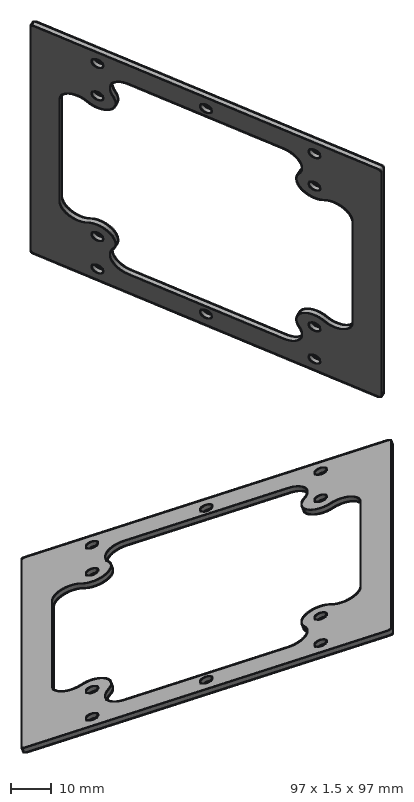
import cadquery as cq
import math

side = 97.0
thickness = 1.5
corner_radius = 1.0

window_half = 40.45
ear_radius = 5.0
ear_offset = 30.0

hole_diameter = 3.2
edge_hole_offset = 43.7

round_radius = ear_radius
round_far = window_half - round_radius
center_distance = ear_radius + round_radius
round_near = ear_offset - math.sqrt(center_distance**2 - (round_far - ear_offset) ** 2)


def toward(start, end, distance):
    """Point at a distance from start, in the direction of end."""
    length = math.dist(start, end)
    return tuple(s + (e - s) * distance / length for s, e in zip(start, end))


def turned(point, quarter_turns):
    """Point rotated clockwise about the plate centre."""
    x, z = point
    for _ in range(quarter_turns):
        x, z = z, -x
    return x, z


def make_plate():
    plate = cq.Workplane("XZ").rect(side, side).extrude(thickness / 2, both=True)
    return plate.edges("|Y").fillet(corner_radius)


def make_window():
    ear = (ear_offset, ear_offset)
    upper_round = (round_near, round_far)
    side_round = (round_far, round_near)

    upper_start = (round_near, window_half)
    upper_end = toward(upper_round, ear, round_radius)
    mid_angle = math.radians(30)
    upper_mid = (round_near + round_radius * math.cos(mid_angle),
                 round_far + round_radius * math.sin(mid_angle))
    ear_mid = toward(ear, (0, 0), ear_radius)
    ear_end = toward(side_round, ear, round_radius)
    side_mid = upper_mid[::-1]
    side_end = (window_half, round_near)

    outline = cq.Workplane("XZ").moveTo(-round_near, window_half)
    for turn in range(4):
        outline = (
            outline.lineTo(*turned(upper_start, turn))
            .threePointArc(turned(upper_mid, turn), turned(upper_end, turn))
            .threePointArc(turned(ear_mid, turn), turned(ear_end, turn))
            .threePointArc(turned(side_mid, turn), turned(side_end, turn))
        )
    return outline.close().extrude(thickness, both=True)


def make_holes():
    columns = (-ear_offset, 0, ear_offset)
    edge_points = [(x, z) for x in columns for z in (-edge_hole_offset, edge_hole_offset)]
    ear_points = [turned((ear_offset, ear_offset), turn) for turn in range(4)]
    holes = cq.Workplane("XZ").pushPoints(edge_points + ear_points).circle(hole_diameter / 2)
    return holes.extrude(thickness, both=True)


result = make_plate().cut(make_window()).cut(make_holes())